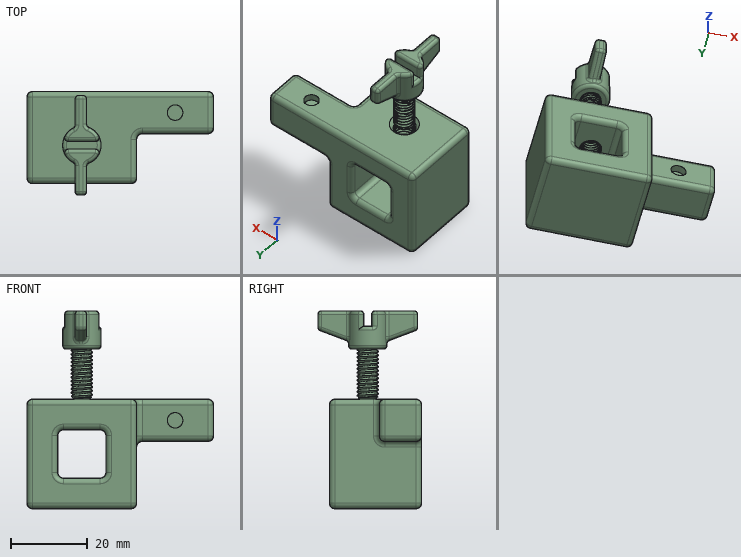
import cadquery as cq
import math

full_turn = 360

total_length = 48.5
total_height = 51.5
block_width = 28.55
block_depth = 24.0
block_height = 28.55
block_round = 1.5
screw_to_block_front = 10.0

arm_side = 11.0
arm_hole_diameter = 4.0
arm_hole_to_end = 10.0
arm_hole_depth = 2.0

window_side = 12.5
window_corner_round = 1.5
window_mouth_round = 1.5

hole_minor_diameter = 5.05
hole_major_diameter = 6.15
countersink_diameter = 7.85
screw_root_diameter = 4.55
screw_crest_diameter = 5.65
screw_tip_diameter = 4.0
thread_turns = 13
screw_crest_angle = -60
hole_crest_angle = 0
flank_points = 24
overrun = 0.5

head_diameter = 10.0
head_height = 10.0
head_round = 1.0
wing_span = 25.95
wing_thickness = 3.0
wing_offset = -0.25
wing_tip_height = 4.95
wing_axis_height = 9.85
slot_width = 2.0
slot_depth = 4.0

block_left = -block_width / 2
block_right = block_width / 2
block_front = -screw_to_block_front
block_back = block_front + block_depth
arm_end = block_left + total_length
arm_front = block_back - arm_side
arm_bottom = block_height - arm_side
arm_hole_x = arm_end - arm_hole_to_end
window_top = (block_height + window_side) / 2
head_bottom = total_height - head_height
pitch = (head_bottom - block_height) / thread_turns


def box_between(low, high):
    size = [b - a for a, b in zip(low, high)]
    return cq.Workplane("XY").box(*size, centered=False).translate(low)


def threaded_rod(root_diameter, crest_diameter, bottom, length, crest_angle):
    """Right-handed sharp thread: a twisted section whose crest starts at the given angle."""
    crest = crest_diameter / 2
    depth = (crest_diameter - root_diameter) / 2

    def flank(side):
        """Spiral from the crest to the root, half a turn away."""
        def point(t):
            radius = crest - depth * t
            angle = side * math.pi * t
            return (radius * math.cos(angle), radius * math.sin(angle))
        return point

    rod = (
        cq.Workplane("XY")
        .parametricCurve(flank(1), N=flank_points, makeWire=False)
        .parametricCurve(flank(-1), N=flank_points, makeWire=False)
        .wire()
        .twistExtrude(length, full_turn * length / pitch)
    )
    return rod.rotate((0, 0, 0), (0, 0, 1), crest_angle).translate((0, 0, bottom))


def make_block_with_arm():
    block = box_between((block_left, block_front, 0), (block_right, block_back, block_height))
    arm = box_between((0, arm_front, arm_bottom), (arm_end, block_back, block_height))
    return block.union(arm).clean().edges().fillet(block_round)


def cut_window(body):
    window = (
        cq.Workplane("XZ", origin=(0, block_back, block_height / 2))
        .rect(window_side, window_side)
        .extrude(block_depth)
        .edges("|Y")
        .fillet(window_corner_round)
    )
    mouths = cq.selectors.BoxSelector(
        (-window_side / 2 - 0.5, block_front - 0.5, block_height / 2 - window_side / 2 - 0.5),
        (window_side / 2 + 0.5, block_back + 0.5, window_top + 0.5),
    )
    body = body.cut(window)
    rims = body.faces("<Y or >Y").edges(mouths)
    return rims.fillet(window_mouth_round)


def cut_arm_holes(body):
    radius = arm_hole_diameter / 2
    top_hole = (
        cq.Workplane("XY", origin=(arm_hole_x, block_back - arm_side / 2, block_height))
        .circle(radius)
        .extrude(-arm_hole_depth)
    )
    front_hole = (
        cq.Workplane("XZ", origin=(arm_hole_x, arm_front, block_height - arm_side / 2))
        .circle(radius)
        .extrude(-arm_hole_depth)
    )
    return body.cut(top_hole).cut(front_hole)


def cut_threaded_hole(body):
    """Tapped hole from the top of the block down into the window, with a 45 degree countersink."""
    countersink_depth = (countersink_diameter - hole_minor_diameter) / 2
    countersink = cq.Solid.makeCone(
        hole_minor_diameter / 2,
        countersink_diameter / 2,
        countersink_depth,
        pnt=cq.Vector(0, 0, block_height - countersink_depth),
    )
    bottom = window_top - overrun
    length = block_height + overrun - bottom
    tap = threaded_rod(hole_minor_diameter, hole_major_diameter, bottom, length, hole_crest_angle)
    return body.cut(cq.Workplane(countersink)).cut(tap)


def make_head():
    head = cq.Workplane("XY", origin=(0, 0, head_bottom)).circle(head_diameter / 2).extrude(head_height)
    tip = wing_span / 2
    wings = (
        cq.Workplane("YZ", origin=(wing_offset - wing_thickness / 2, 0, 0))
        .polyline([
            (-tip, total_height),
            (tip, total_height),
            (tip, total_height - wing_tip_height),
            (0, total_height - wing_axis_height),
            (-tip, total_height - wing_tip_height),
        ])
        .close()
        .extrude(wing_thickness)
    )
    slot = box_between(
        (-head_diameter, -slot_width / 2, total_height - slot_depth),
        (head_diameter, slot_width / 2, total_height + 0.5),
    )
    head = head.union(wings).cut(slot).clean()
    slot_floor_sides = cq.selectors.BoxSelector(
        (-0.5, -slot_width, total_height - slot_depth - 0.5),
        (0.5, slot_width, total_height - slot_depth + 0.5),
    )
    return head.edges(cq.selectors.InverseSelector(slot_floor_sides)).fillet(head_round)


def make_screw_shank():
    """Threaded shank whose crests are cut to a 45 degree cone at the tip."""
    tip = screw_tip_diameter / 2
    outside = screw_crest_diameter / 2 + overrun
    top = head_bottom + overrun
    rod = threaded_rod(
        screw_root_diameter, screw_crest_diameter, block_height, top - block_height, screw_crest_angle
    )
    tip_envelope = (
        cq.Workplane("XZ")
        .polyline([
            (0, block_height),
            (tip, block_height),
            (outside, block_height + outside - tip),
            (outside, top),
            (0, top),
        ])
        .close()
        .revolve(full_turn, (0, 0, 0), (0, 1, 0))
    )
    return rod.intersect(tip_envelope)


def make_thumb_screw():
    return make_head().union(make_screw_shank())


def make_clamp_block():
    return cut_threaded_hole(cut_arm_holes(cut_window(make_block_with_arm())))


clamp_block = make_clamp_block()
thumb_screw = make_thumb_screw()
result = cq.Compound.makeCompound([clamp_block.val(), thumb_screw.val()])